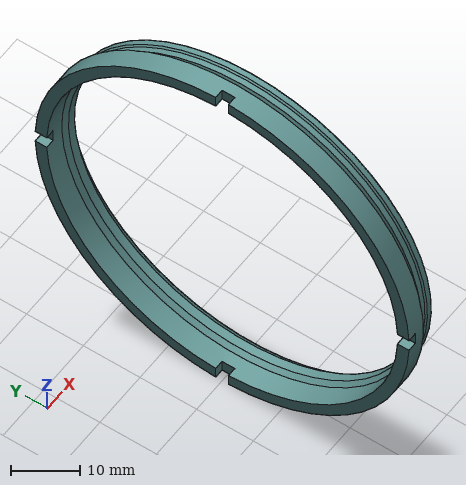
import cadquery as cq

ring_length = 7.3
outer_radius = 33.0
groove_radius = 31.55
flange_radius = 31.75

rim_length = 3.55
groove_start = rim_length + (outer_radius - groove_radius)
groove_end = 6.0
flange_start = 6.35

front_bore_radius = 30.95
rear_bore_radius = 30.4
bore_cone_start = 3.75
bore_cone_end = 4.7
rear_chamfer = 1.1

notch_width = 2.25
notch_depth = 1.6
notch_count = 4

def make_ring():
    """Revolve the wall section, drawn as (axial, radial) points, about X."""
    section = [
        (0, front_bore_radius),
        (0, outer_radius),
        (rim_length, outer_radius),
        (groove_start, groove_radius),
        (groove_end, groove_radius),
        (flange_start, flange_radius),
        (ring_length, flange_radius),
        (ring_length, rear_bore_radius + rear_chamfer),
        (ring_length - rear_chamfer, rear_bore_radius),
        (bore_cone_end, rear_bore_radius),
        (bore_cone_start, front_bore_radius),
    ]
    return cq.Workplane("XZ").polyline(section).close().revolve(360, (0, 0, 0), (1, 0, 0))

def make_notch(angle):
    """Radial slot from the axis to the rim, turned about X by the given angle."""
    slot = cq.Workplane("XY").box(
        notch_depth, notch_width, 2 * outer_radius, centered=(False, True, False)
    )
    return slot.rotate((0, 0, 0), (1, 0, 0), angle)

result = make_ring()
for index in range(notch_count):
    result = result.cut(make_notch(index * 360 / notch_count))